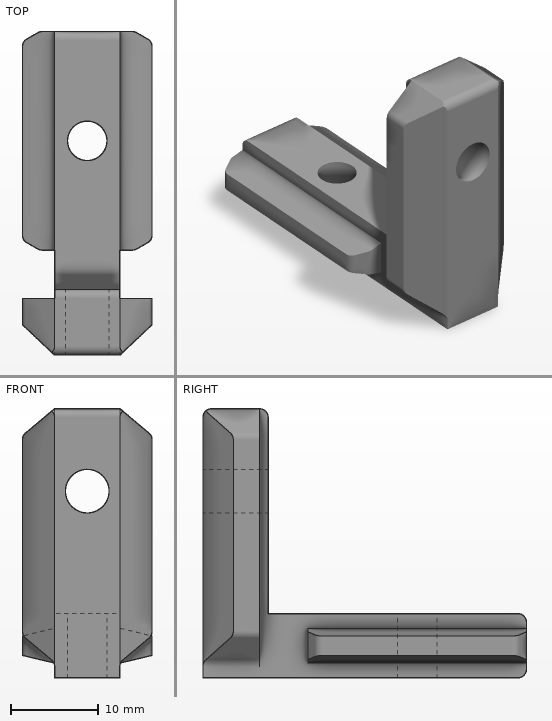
import cadquery as cq
import math

LENGTH = 37.0
HEIGHT = 30.8
WING_WIDTH = 14.85
BAR_WIDTH = 7.47
BASE_THICKNESS = 7.35
POST_THICKNESS = 7.47
EDGE_RADIUS = 1.0

POST_WING_DEPTH = POST_THICKNESS - EDGE_RADIUS
POST_WING_SIDE_DEPTH = 3.0
POST_WING_BOTTOM = 1.78
POST_BEVEL_ANGLE = 40.0

BASE_WING_LENGTH = 25.0
BASE_WING_ROOT_HEIGHT = 4.0
BASE_WING_TIP_HEIGHT = 2.22
BASE_CORNER_INSET = 2.0
BASE_CORNER_ANGLE = 30.0

POST_HOLE_DIAMETER = 4.95
POST_HOLE_HEIGHT = 21.35
BASE_HOLE_DIAMETER = 4.48

BAR_HALF = BAR_WIDTH / 2
WING_HALF = WING_WIDTH / 2


def mirrored(right_points):
    """Complete an outline from its +X half, listed bottom to top."""
    return right_points + [(-x, v) for x, v in reversed(right_points)]


def make_bar():
    """Central L-shaped bar with rounded free ends."""
    outline = [
        (0, 0),
        (LENGTH, 0),
        (LENGTH, BASE_THICKNESS),
        (POST_THICKNESS, BASE_THICKNESS),
        (POST_THICKNESS, HEIGHT),
        (0, HEIGHT),
    ]
    bar = cq.Workplane("YZ").polyline(outline).close().extrude(BAR_HALF, both=True)
    return bar.edges("|X and (>Y or >Z)").fillet(EDGE_RADIUS)


def make_post_wings():
    """Bevelled wings on the vertical leg, tapering to the bar at the front."""
    bevel_rise = (WING_HALF - BAR_HALF) * math.tan(math.radians(POST_BEVEL_ANGLE))
    face = mirrored([
        (BAR_HALF, 0),
        (BAR_HALF, POST_WING_BOTTOM),
        (WING_HALF, POST_WING_BOTTOM + bevel_rise),
        (WING_HALF, HEIGHT - bevel_rise),
        (BAR_HALF, HEIGHT),
    ])
    wings = cq.Workplane("XZ").polyline(face).close().extrude(-POST_WING_DEPTH)
    wings = wings.edges("|Y and (not >Z) and (not <Z)").fillet(EDGE_RADIUS)

    section = mirrored([
        (BAR_HALF, 0),
        (WING_HALF, POST_WING_DEPTH - POST_WING_SIDE_DEPTH),
        (WING_HALF, POST_WING_DEPTH),
    ])
    wings = wings.intersect(cq.Workplane("XY").polyline(section).close().extrude(HEIGHT))

    edge_limit = (
        cq.Workplane("XY")
        .box(WING_WIDTH, POST_WING_DEPTH, HEIGHT, centered=(True, False, False))
        .edges("|X and >Z and <Y")
        .fillet(EDGE_RADIUS)
    )
    return wings.intersect(edge_limit)


def make_base_wings():
    """Wings on the horizontal leg, thinning outward, with angled corners."""
    front = LENGTH - BASE_WING_LENGTH
    corner_run = BASE_CORNER_INSET * math.tan(math.radians(BASE_CORNER_ANGLE))
    plan = mirrored([
        (WING_HALF - BASE_CORNER_INSET, front),
        (WING_HALF, front + corner_run),
        (WING_HALF, LENGTH - corner_run),
        (WING_HALF - BASE_CORNER_INSET, LENGTH),
    ])
    wings = cq.Workplane("XY").polyline(plan).close().extrude(BASE_THICKNESS)
    wings = wings.edges("|Z").fillet(EDGE_RADIUS)

    middle = BASE_THICKNESS / 2
    root_half = BASE_WING_ROOT_HEIGHT / 2
    tip_half = BASE_WING_TIP_HEIGHT / 2
    section = mirrored([
        (BAR_HALF, middle - root_half),
        (WING_HALF, middle - tip_half),
        (WING_HALF, middle + tip_half),
        (BAR_HALF, middle + root_half),
    ])
    return wings.intersect(cq.Workplane("XZ").polyline(section).close().extrude(-LENGTH))


def make_holes():
    """Through-hole cutters, one for each leg."""
    post_hole = (
        cq.Workplane("XZ")
        .center(0, POST_HOLE_HEIGHT)
        .circle(POST_HOLE_DIAMETER / 2)
        .extrude(-POST_THICKNESS)
    )
    base_hole = (
        cq.Workplane("XY")
        .center(0, LENGTH - BASE_WING_LENGTH / 2)
        .circle(BASE_HOLE_DIAMETER / 2)
        .extrude(BASE_THICKNESS)
    )
    return post_hole.union(base_hole)


result = make_bar().union(make_post_wings()).union(make_base_wings()).cut(make_holes())